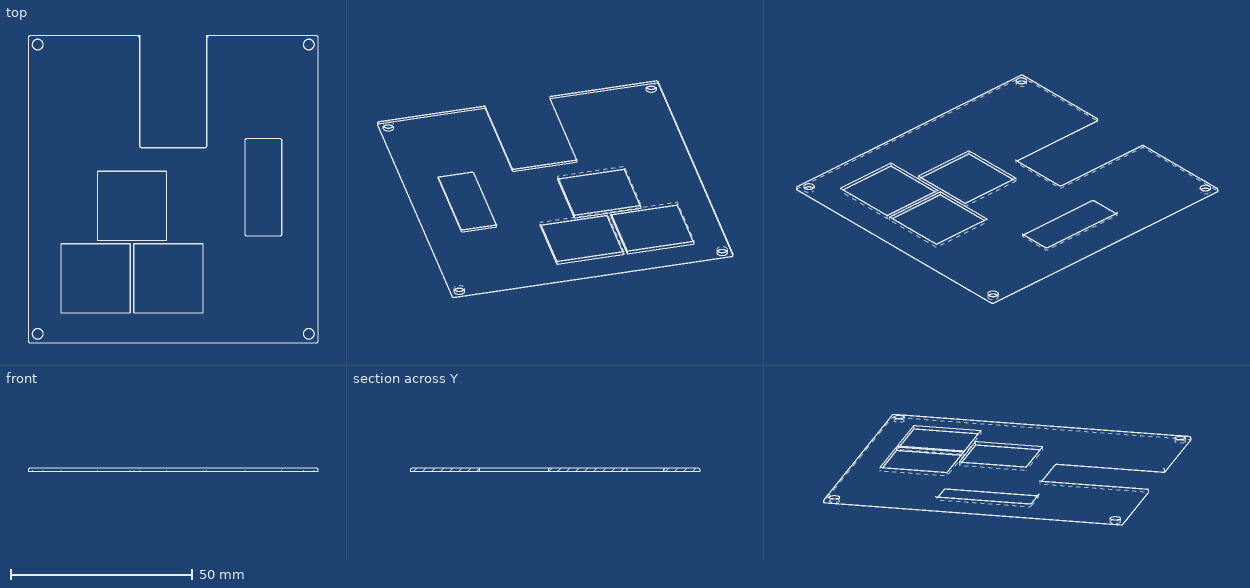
import cadquery as cq

width = 80.0
length = 85.0
thickness = 1.0

edge_radius = 0.5

corner_radius = 0.5

hole_diameter = 2.9
hole_inset = 2.55

notch_width = 19.5
notch_depth = 31.5

window_width = 11.1
window_length = 27.9
window_x = 24.9
window_y = 0.5

square_side = 19.0
square_pitch = 20.1
squares_x = -11.4
upper_square_y = -4.6


def rounded_opening(open_width, open_length):
    """Through cutter whose side walls flare outward into a convex round at the plate's top face."""
    throat_width = open_width - 2 * edge_radius
    throat_length = open_length - 2 * edge_radius
    slab = cq.Workplane("XY").box(2 * open_width, 2 * open_length, thickness, centered=(True, True, False))
    throat = (
        cq.Workplane("XY")
        .box(throat_width, throat_length, thickness, centered=(True, True, False))
        .edges("|Z").fillet(corner_radius)
    )
    rim = cq.selectors.BoxSelector(
        (-open_width / 2, -open_length / 2, thickness - edge_radius / 2),
        (open_width / 2, open_length / 2, thickness + edge_radius / 2),
    )
    frame = slab.cut(throat).edges(rim).fillet(edge_radius)
    return slab.cut(frame)


plate = (
    cq.Workplane("XY")
    .box(width, length, thickness, centered=(True, True, False))
    .edges("|Z or >Z").fillet(edge_radius)
)

notch = rounded_opening(notch_width, 2 * notch_depth)
plate = plate.cut(notch.translate((0, length / 2, 0)))

window = rounded_opening(window_width, window_length)
plate = plate.cut(window.translate((window_x, window_y, 0)))

lower_square_y = upper_square_y - square_pitch
square_centers = [
    (squares_x, upper_square_y),
    (squares_x - square_pitch / 2, lower_square_y),
    (squares_x + square_pitch / 2, lower_square_y),
]
squares = cq.Workplane("XY").pushPoints(square_centers).rect(square_side, square_side).extrude(thickness)
plate = plate.cut(squares)

holes = (
    cq.Workplane("XY")
    .rect(width - 2 * hole_inset, length - 2 * hole_inset, forConstruction=True)
    .vertices().circle(hole_diameter / 2).extrude(thickness)
)
result = plate.cut(holes)